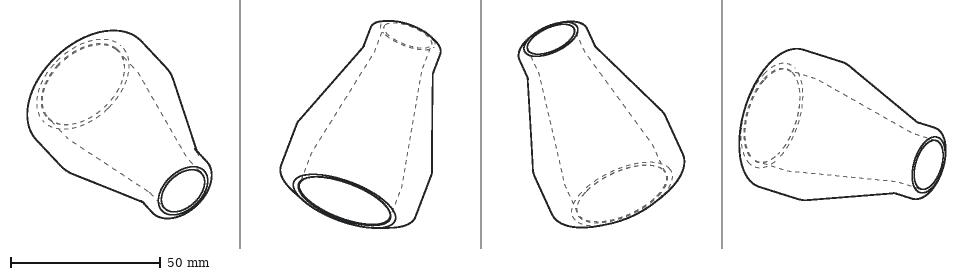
import cadquery as cq
import math

length = 64.0
large_radius = 48.3 / 2
small_radius = 25.0 / 2
large_end_length = 20.0
small_end_length = 10.0
small_end_start = length - small_end_length

large_bore_radius = 32.3 / 2
small_bore_radius = 17.0 / 2
large_bore_depth = 12.0
bore_edge_chamfer = 0.25

bevel_angle = math.radians(30)
large_face_radius = 18.2
small_face_radius = 9.7
large_bevel_length = (large_radius - large_face_radius) * math.tan(bevel_angle)
small_bevel_length = (small_radius - small_face_radius) * math.tan(bevel_angle)

corner_fillet = 1.0


def outer_body():
    """Solid of revolution with its four outer corners rounded."""
    small_bevel_start = length - small_bevel_length
    corners = [
        (large_bevel_length, large_radius),
        (large_end_length, large_radius),
        (small_end_start, small_radius),
        (small_bevel_start, small_radius),
    ]
    profile = [(0, 0), (0, large_face_radius), *corners, (length, small_face_radius), (length, 0)]
    body = cq.Workplane("XY").polyline(profile).close().revolve(360, (0, 0, 0), (1, 0, 0))
    for x, _ in corners:
        corner_edge = cq.selectors.BoxSelector(
            (x - corner_fillet / 4, -length, -length),
            (x + corner_fillet / 4, length, length),
            boundingbox=True,
        )
        body = body.edges(corner_edge).fillet(corner_fillet)
    return body


def bore():
    """Through bore with a chamfered entry at the large end."""
    profile = [
        (0, 0),
        (0, large_bore_radius + bore_edge_chamfer),
        (bore_edge_chamfer, large_bore_radius),
        (large_bore_depth, large_bore_radius),
        (small_end_start, small_bore_radius),
        (length, small_bore_radius),
        (length, 0),
    ]
    return cq.Workplane("XY").polyline(profile).close().revolve(360, (0, 0, 0), (1, 0, 0))


result = outer_body().cut(bore())